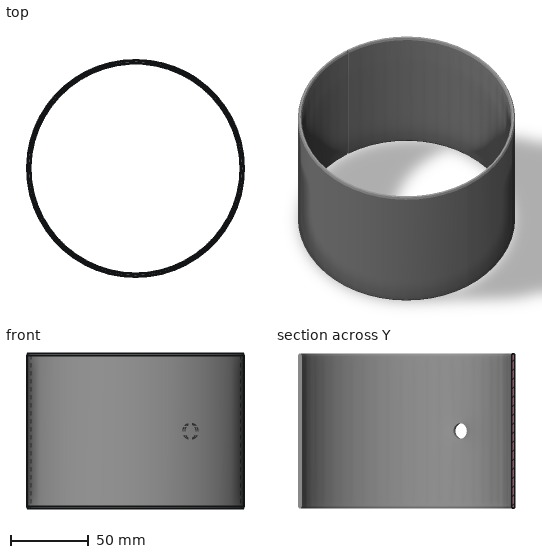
import cadquery as cq

outer_diameter = 140.0
height = 100.0
wall = 2.5
edge_chamfer_height = 1.4
edge_chamfer_width = 0.7

slit_width = 1.1

hole_diameter = 10.0
hole_angle = 59.1

outer_radius = outer_diameter / 2
inner_radius = outer_radius - wall


def make_sleeve():
    """Revolve the wall section, bevelled at all four rim edges."""
    outer_rim = outer_radius - edge_chamfer_width
    inner_rim = inner_radius + edge_chamfer_width
    section = [
        (inner_rim, 0),
        (outer_rim, 0),
        (outer_radius, edge_chamfer_height),
        (outer_radius, height - edge_chamfer_height),
        (outer_rim, height),
        (inner_rim, height),
        (inner_radius, height - edge_chamfer_height),
        (inner_radius, edge_chamfer_height),
    ]
    return cq.Workplane("XZ").polyline(section).close().revolve(360, (0, 0, 0), (0, 1, 0))


def make_slit():
    """Full-height cutter that reaches from the axis through the -X wall."""
    return (
        cq.Workplane("XY")
        .box(outer_diameter, slit_width, height, centered=(True, False, False))
        .translate((-outer_radius, 0, 0))
    )


def make_hole():
    """Cylinder from the axis outwards through one side of the wall."""
    return (
        cq.Workplane("YZ")
        .center(0, height / 2)
        .circle(hole_diameter / 2)
        .extrude(outer_diameter)
        .rotate((0, 0, 0), (0, 0, 1), hole_angle)
    )


result = make_sleeve().cut(make_slit()).cut(make_hole())